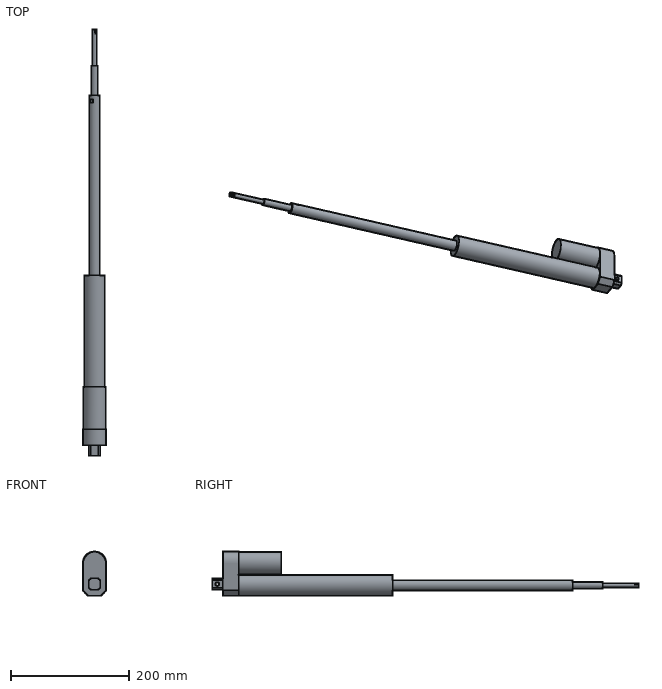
import cadquery as cq
import math


length = 723.0
front_y = -length / 2
tip_y = length / 2
lug_length = 18.0
gearbox_thickness = 27.0
motor_length = 72.0
gearbox_front_y = front_y + lug_length
gearbox_rear_y = gearbox_front_y + gearbox_thickness
motor_end_y = gearbox_rear_y + motor_length
tube_end_y = -56.0
rod_end_y = 249.0
neck_end_y = 300.0

gearbox_width = 40.0
gearbox_height = 75.0
corner_width = 9.0
corner_height = 9.5
tube_diameter = 35.5
motor_diameter = 38.0
gearbox_bottom_z = -tube_diameter / 2
gearbox_top_z = gearbox_bottom_z + gearbox_height
motor_z = gearbox_top_z - gearbox_width / 2

lug_size = 19.5
lug_chamfer = 3.5
lug_z = 2.0
lug_hole_diameter = 6.0
lug_hole_y = front_y + 9.0

rod_diameter = 18.0
neck_diameter = 11.5
tip_diameter = 8.0
rod_hole_diameter = 6.0
rod_hole_depth = rod_diameter / 2
rod_hole_y = rod_end_y - 9.5
rod_hole_tilt = -35.0
tip_hole_diameter = 4.0
tip_hole_y = tip_y - 5.0
tip_hole_tilt = 45.0


def cylinder_along_y(diameter, start_y, end_y, z=0.0):
    """Solid cylinder parallel to Y between two stations."""
    base = cq.Workplane("XZ", origin=(0, start_y, z))
    return base.circle(diameter / 2).extrude(start_y - end_y)


def radial_drill(diameter, y, tilt, start, end):
    """Drill body across the rod axis, tilted about Y, between two distances from the axis."""
    angle = math.radians(tilt)
    direction = cq.Vector(math.sin(angle), 0, math.cos(angle))
    base_point = cq.Vector(0, y, 0) + direction * start
    return cq.Workplane(cq.Solid.makeCylinder(diameter / 2, end - start, base_point, direction))


def make_gearbox():
    """Plate with a round top and chamfered bottom corners."""
    half_width = gearbox_width / 2
    return (
        cq.Workplane("XZ", origin=(0, gearbox_front_y, 0))
        .moveTo(-half_width, motor_z)
        .threePointArc((0, gearbox_top_z), (half_width, motor_z))
        .lineTo(half_width, gearbox_bottom_z + corner_height)
        .lineTo(half_width - corner_width, gearbox_bottom_z)
        .lineTo(corner_width - half_width, gearbox_bottom_z)
        .lineTo(-half_width, gearbox_bottom_z + corner_height)
        .close()
        .extrude(-gearbox_thickness)
    )


def make_lug():
    """Square lug with chamfered long edges and a cross hole."""
    block = (
        cq.Workplane("XZ", origin=(0, front_y, lug_z))
        .rect(lug_size, lug_size)
        .extrude(-lug_length)
        .edges("|Y")
        .chamfer(lug_chamfer)
    )
    hole = (
        cq.Workplane("YZ", origin=(0, lug_hole_y, lug_z))
        .circle(lug_hole_diameter / 2)
        .extrude(lug_size, both=True)
    )
    return block.cut(hole)


def make_housing():
    """Actuator housing: gearbox, lug, motor and outer tube in one piece."""
    tube = cylinder_along_y(tube_diameter, gearbox_rear_y, tube_end_y)
    motor = cylinder_along_y(motor_diameter, gearbox_rear_y, motor_end_y, motor_z)
    return make_gearbox().union(make_lug()).union(tube).union(motor)


def make_extension_rod():
    """Stepped rod that starts at the tube's end face."""
    tip = cylinder_along_y(tip_diameter, neck_end_y, tip_y)
    rod = (
        cylinder_along_y(rod_diameter, tube_end_y, rod_end_y)
        .union(cylinder_along_y(neck_diameter, rod_end_y, neck_end_y))
        .union(tip)
    )
    rod_radius = rod_diameter / 2
    rod_hole = radial_drill(
        rod_hole_diameter, rod_hole_y, rod_hole_tilt, rod_radius - rod_hole_depth, rod_diameter
    )
    tip_hole = radial_drill(tip_hole_diameter, tip_hole_y, tip_hole_tilt, -tip_diameter, tip_diameter)
    return rod.cut(rod_hole).cut(tip_hole)


housing = make_housing()
extension_rod = make_extension_rod()
result = cq.Compound.makeCompound([housing.val(), extension_rod.val()])